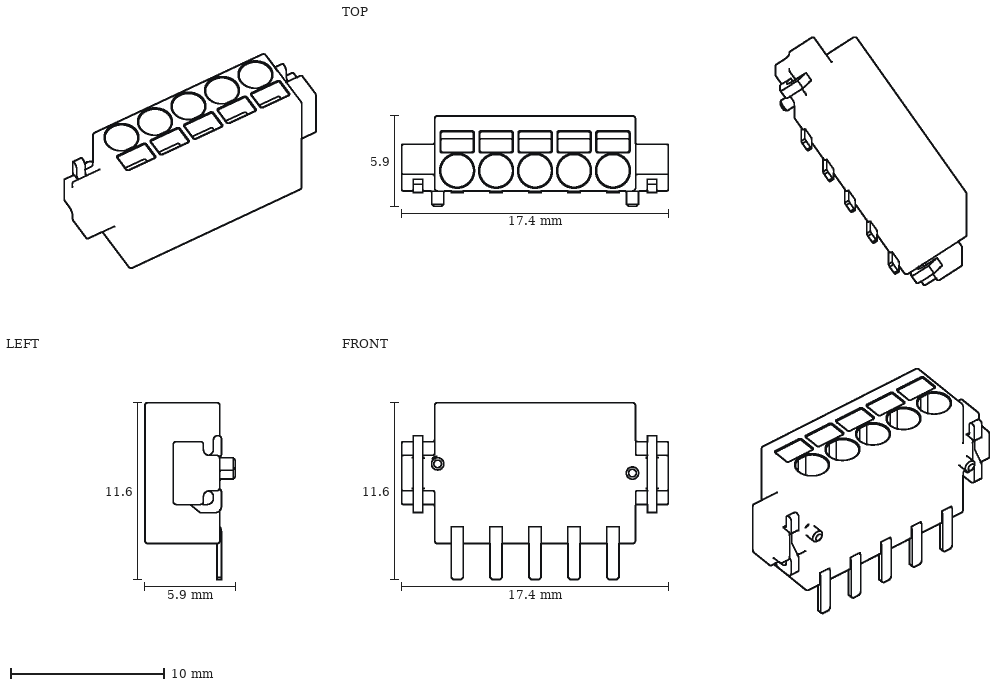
import cadquery as cq
import math

POLES = 5
PITCH = 2.54
BODY_LENGTH = 13.1
BODY_DEPTH = 4.9
BODY_HEIGHT = 9.2
BODY_FILLET = 0.2
OVERLAP = 0.5
TOLERANCE = 0.01

WIRE_RADIUS = 1.075
WIRE_Y = 1.32
WIRE_FLAT_OFFSET = 1.03
WIRE_DEPTH = 5.0
WIRE_CHAMFER = 0.06

POCKET_WIDTH = 2.12
POCKET_FRONT_Y = 2.54
POCKET_BACK_Y = 3.87
POCKET_FLOOR_BACK_Y = 3.42
POCKET_DEPTH = 1.62
POCKET_CORNER = 0.1
POCKET_CHAMFER = 0.05

CONTACT_WIDTH = 0.8
CONTACT_THICKNESS = 0.3
CONTACT_PROUD = 0.1
CONTACT_TOP_Z = 1.1
CONTACT_BEND_Z = 0.76
CONTACT_BOTTOM_Z = -2.35
CONTACT_CHAMFER = 0.15

PEG_X = 2.5 * PITCH
PEG_LEFT_Z = 5.2
PEG_RIGHT_Z = 4.6
PEG_RADIUS = 0.4
PEG_LENGTH = 1.0
PEG_CHAMFER = 0.15
PEG_FOOT_FILLET = 0.1

EAR_END_X = 17.39 / 2
EAR_MID_Z = BODY_HEIGHT / 2
EAR_HEIGHT = 4.1
EAR_BACK_Y = 3.05
EAR_STEP_Y = 1.08
NECK_HEIGHT = 2.3
EAR_FILLET = 0.2
EAR_STEP_FILLET = 0.4
EAR_END_FILLET = 0.1
EAR_FOOT_FILLET = 0.12

CLIP_X = 7.63
CLIP_THICKNESS = 0.63
CLIP_TOP_Z = 7.05
CLIP_BOTTOM_Z = 2.02
CLIP_PRONG_BACK_Y = 0.43
CLIP_BACK_Y = 1.95
CLIP_HEEL_Y = 1.29
CLIP_GAP_FILLET = 0.4
CLIP_TOP_FRONT_FILLET = 0.2
CLIP_TOP_BACK_FILLET = 0.3
CLIP_BOTTOM_FILLET = 0.4
CLIP_NOTCH_DEPTH = 0.75
CLIP_NOTCH_FILLET = 0.2
CLIP_NOTCH_FLOOR_FILLET = 0.1
SLOT_EDGE_FILLET = 0.1

body_side_x = BODY_LENGTH / 2
ear_bottom_z = EAR_MID_Z - EAR_HEIGHT / 2
ear_top_z = EAR_MID_Z + EAR_HEIGHT / 2
neck_bottom_z = EAR_MID_Z - NECK_HEIGHT / 2
neck_top_z = EAR_MID_Z + NECK_HEIGHT / 2
clip_notch_floor_y = CLIP_NOTCH_DEPTH - CONTACT_PROUD
pole_positions = [(i - (POLES - 1) / 2) * PITCH for i in range(POLES)]


def yz_prism(profile, x_start, thickness):
    """Extrude a closed outline, drawn as (y, z), along +X from x_start."""
    return profile.extrude(thickness).translate((x_start, 0, 0))


def slab(axis, position):
    """Selects whatever is centred on the plane at this position along an axis (0, 1, 2 for X, Y, Z)."""
    low = [-BODY_LENGTH, -BODY_LENGTH, -BODY_LENGTH]
    high = [BODY_LENGTH, BODY_LENGTH, BODY_LENGTH]
    low[axis] = position - TOLERANCE
    high[axis] = position + TOLERANCE
    return cq.selectors.BoxSelector(low, high)


def add_on_both_sides(part, side_piece):
    return part.union(side_piece).union(side_piece.mirror("YZ"))


def make_ear():
    """Ear on the +X side; its front and end edges are left sharp."""
    outline = cq.Workplane("YZ").polyline([
        (EAR_BACK_Y, ear_bottom_z),
        (EAR_STEP_Y, ear_bottom_z),
        (EAR_STEP_Y, neck_bottom_z),
        (0, neck_bottom_z),
        (0, neck_top_z),
        (EAR_STEP_Y, neck_top_z),
        (EAR_STEP_Y, ear_top_z),
        (EAR_BACK_Y, ear_top_z),
    ]).close()
    ear_start_x = body_side_x - OVERLAP
    ear = yz_prism(outline, ear_start_x, EAR_END_X - ear_start_x)
    step_edges = cq.selectors.BoxSelector(
        (0, EAR_STEP_Y - TOLERANCE, neck_bottom_z - TOLERANCE),
        (EAR_END_X, EAR_STEP_Y + TOLERANCE, neck_top_z + TOLERANCE),
    )
    ear = ear.edges("|X").edges(step_edges).fillet(EAR_STEP_FILLET)
    top_and_bottom = slab(2, ear_top_z) + slab(2, ear_bottom_z)
    return ear.edges("|X").edges(top_and_bottom).fillet(EAR_FILLET)


def clip_notch(width):
    """Notch into the +X ear and its clip, with 45 degree upper and lower walls."""
    outline = cq.Workplane("YZ").polyline([
        (-CONTACT_PROUD, neck_top_z),
        (clip_notch_floor_y, neck_top_z - CLIP_NOTCH_DEPTH),
        (clip_notch_floor_y, neck_bottom_z + CLIP_NOTCH_DEPTH),
        (-CONTACT_PROUD, neck_bottom_z),
    ]).close()
    notch = yz_prism(outline, CLIP_X - width / 2, width)
    return notch.faces(">Y").edges("|X").fillet(CLIP_NOTCH_FLOOR_FILLET)


def ear_slot():
    """Opening in the +X ear over the clip notch, its mouth flared to round the slot edges."""
    half_width = CLIP_THICKNESS / 2
    half_mouth = half_width + SLOT_EDGE_FILLET
    arc_x = half_mouth - SLOT_EDGE_FILLET * math.sqrt(0.5)
    arc_y = SLOT_EDGE_FILLET * (1 - math.sqrt(0.5))
    flared = (
        cq.Workplane("XY", origin=(CLIP_X, 0, neck_bottom_z))
        .moveTo(-half_mouth, -CONTACT_PROUD)
        .lineTo(-half_mouth, 0)
        .threePointArc((-arc_x, arc_y), (-half_width, SLOT_EDGE_FILLET))
        .lineTo(-half_width, clip_notch_floor_y)
        .lineTo(half_width, clip_notch_floor_y)
        .lineTo(half_width, SLOT_EDGE_FILLET)
        .threePointArc((arc_x, arc_y), (half_mouth, 0))
        .lineTo(half_mouth, -CONTACT_PROUD)
        .close()
        .extrude(NECK_HEIGHT)
    )
    return flared.intersect(clip_notch(2 * half_mouth))


def make_housing():
    """Block and ears as one piece, with every outer edge rounded and the clip slots cut."""
    block = cq.Workplane("XY").box(BODY_LENGTH, BODY_DEPTH, BODY_HEIGHT, centered=(True, False, False))
    housing = add_on_both_sides(block, make_ear())

    for side_x in (-body_side_x, body_side_x):
        ear_foot = cq.selectors.BoxSelector(
            (side_x - TOLERANCE, TOLERANCE, ear_bottom_z - TOLERANCE),
            (side_x + TOLERANCE, EAR_BACK_Y + TOLERANCE, ear_top_z + TOLERANCE),
        )
        housing = housing.edges(ear_foot).fillet(EAR_FOOT_FILLET)

    ear_ends = slab(0, -EAR_END_X) + slab(0, EAR_END_X)
    front_and_back = slab(1, 0) + slab(1, BODY_DEPTH)
    top_and_bottom = slab(2, 0) + slab(2, BODY_HEIGHT)
    housing = housing.edges(front_and_back + top_and_bottom - ear_ends).fillet(BODY_FILLET)
    housing = housing.edges(ear_ends).fillet(EAR_END_FILLET)

    return housing.cut(ear_slot()).cut(ear_slot().mirror("YZ"))


def wire_entry_outline(x):
    half_flat = math.sqrt(WIRE_RADIUS ** 2 - WIRE_FLAT_OFFSET ** 2)
    return (
        cq.Workplane("XY", origin=(x, WIRE_Y, BODY_HEIGHT - WIRE_CHAMFER))
        .moveTo(half_flat, WIRE_FLAT_OFFSET)
        .lineTo(-half_flat, WIRE_FLAT_OFFSET)
        .threePointArc((0, -WIRE_RADIUS), (half_flat, WIRE_FLAT_OFFSET))
        .close()
    )


def make_wire_entry(x):
    mouth = wire_entry_outline(x).extrude(WIRE_CHAMFER, taper=-45)
    bore = wire_entry_outline(x).extrude(WIRE_CHAMFER - WIRE_DEPTH)
    return bore.union(mouth)


def make_pocket(x):
    floor_z = BODY_HEIGHT - POCKET_DEPTH
    outline = cq.Workplane("YZ").polyline([
        (POCKET_FRONT_Y, BODY_HEIGHT),
        (POCKET_BACK_Y, BODY_HEIGHT),
        (POCKET_FLOOR_BACK_Y, floor_z),
        (POCKET_FRONT_Y, floor_z),
    ]).close()
    pocket = yz_prism(outline, x - POCKET_WIDTH / 2, POCKET_WIDTH)
    upright_edges = pocket.edges("not (|X or |Y)")
    pocket = upright_edges.fillet(POCKET_CORNER)
    middle_y = (POCKET_FRONT_Y + POCKET_BACK_Y) / 2
    mouth = (
        cq.Workplane("XY", origin=(x, middle_y, BODY_HEIGHT - POCKET_CHAMFER))
        .sketch()
        .rect(POCKET_WIDTH, POCKET_BACK_Y - POCKET_FRONT_Y)
        .vertices()
        .fillet(POCKET_CORNER)
        .finalize()
        .extrude(POCKET_CHAMFER, taper=-45)
    )
    return pocket.union(mouth)


def make_contact(x):
    rise = CONTACT_TOP_Z - CONTACT_BEND_Z
    bend_radius = (rise ** 2 + CONTACT_PROUD ** 2) / (2 * CONTACT_PROUD)
    half_angle = math.asin(rise / bend_radius) / 2
    mid_point = (
        -CONTACT_PROUD + bend_radius * (1 - math.cos(half_angle)),
        CONTACT_BEND_Z + bend_radius * math.sin(half_angle),
    )
    back_y = CONTACT_THICKNESS - CONTACT_PROUD
    outline = (
        cq.Workplane("YZ")
        .moveTo(-CONTACT_PROUD, CONTACT_BOTTOM_Z)
        .lineTo(-CONTACT_PROUD, CONTACT_BEND_Z)
        .threePointArc(mid_point, (0, CONTACT_TOP_Z))
        .lineTo(back_y, CONTACT_TOP_Z)
        .lineTo(back_y, CONTACT_BOTTOM_Z)
        .close()
    )
    contact = yz_prism(outline, x - CONTACT_WIDTH / 2, CONTACT_WIDTH)
    return contact.faces("<Z").edges("|Y").chamfer(CONTACT_CHAMFER)


def make_peg(x, z):
    foot_radius = PEG_RADIUS + PEG_FOOT_FILLET
    arc_inset = PEG_FOOT_FILLET * (1 - math.sqrt(0.5))
    section = (
        cq.Workplane("XY")
        .moveTo(0, -OVERLAP)
        .lineTo(PEG_RADIUS, -OVERLAP)
        .lineTo(PEG_RADIUS, 0)
        .lineTo(foot_radius, 0)
        .threePointArc((PEG_RADIUS + arc_inset, arc_inset), (PEG_RADIUS, PEG_FOOT_FILLET))
        .lineTo(PEG_RADIUS, PEG_LENGTH - PEG_CHAMFER)
        .lineTo(PEG_RADIUS - PEG_CHAMFER, PEG_LENGTH)
        .lineTo(0, PEG_LENGTH)
        .close()
    )
    peg = section.revolve(360, (0, 0, 0), (0, 1, 0))
    return peg.rotate((0, 0, 0), (0, 0, 1), 180).translate((x, 0, z))


def make_clip():
    """Hold-down clip of the +X ear: prongs above and below a 45 degree notch."""
    start_x = CLIP_X - CLIP_THICKNESS / 2
    front_y = -CONTACT_PROUD
    outline = cq.Workplane("YZ").polyline([
        (front_y, CLIP_TOP_Z),
        (CLIP_PRONG_BACK_Y, CLIP_TOP_Z),
        (CLIP_PRONG_BACK_Y, neck_top_z),
        (CLIP_BACK_Y, neck_top_z),
        (CLIP_BACK_Y, ear_bottom_z),
        (CLIP_HEEL_Y, CLIP_BOTTOM_Z),
        (front_y, CLIP_BOTTOM_Z),
    ]).close()
    clip = yz_prism(outline, start_x, CLIP_THICKNESS)
    clip = clip.faces("<Y").edges("<Z").fillet(CLIP_BOTTOM_FILLET)
    clip = clip.faces(">Z").edges(">Y").fillet(CLIP_TOP_BACK_FILLET)
    clip = clip.faces(">Z").edges("<Y").fillet(CLIP_TOP_FRONT_FILLET)
    prong_root = slab(2, neck_top_z) - cq.selectors.DirectionMinMaxSelector(cq.Vector(0, 1, 0))
    clip = clip.edges("|X").edges(prong_root).fillet(CLIP_GAP_FILLET)

    clip = clip.cut(clip_notch(CLIP_THICKNESS))
    notch_mouth = cq.selectors.BoxSelector(
        (0, front_y - TOLERANCE, neck_bottom_z - TOLERANCE),
        (EAR_END_X, front_y + TOLERANCE, neck_top_z + TOLERANCE),
    )
    clip = clip.edges("|X").edges(notch_mouth).fillet(CLIP_NOTCH_FILLET)

    gap = cq.Workplane("YZ").polyline([
        (CLIP_PRONG_BACK_Y, ear_bottom_z),
        (EAR_STEP_Y, ear_bottom_z),
        (EAR_STEP_Y, neck_bottom_z),
        (CLIP_PRONG_BACK_Y, neck_bottom_z),
    ]).close()
    gap = yz_prism(gap, start_x, CLIP_THICKNESS)
    return clip.cut(gap.faces("<Y").edges("|X").fillet(CLIP_GAP_FILLET))


result = add_on_both_sides(make_housing(), make_clip())
for pole_x in pole_positions:
    result = result.cut(make_wire_entry(pole_x))
    result = result.cut(make_pocket(pole_x))
    result = result.union(make_contact(pole_x))
result = result.union(make_peg(-PEG_X, PEG_LEFT_Z))
result = result.union(make_peg(PEG_X, PEG_RIGHT_Z))